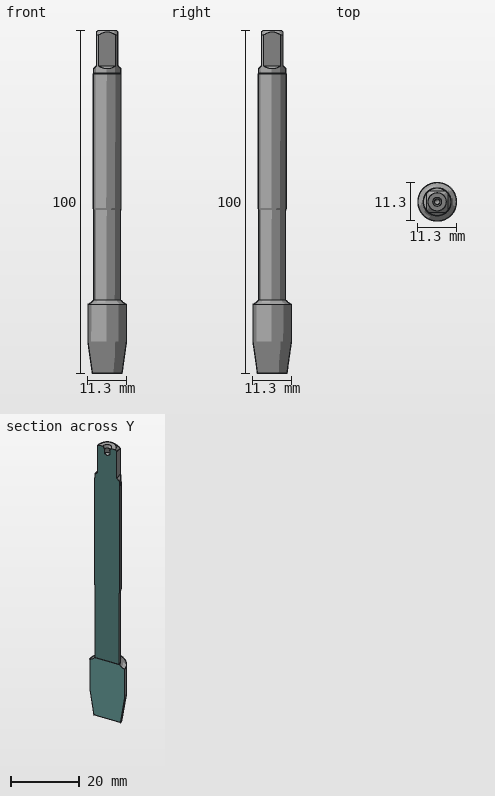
import cadquery as cq
import math

HEAD_DIAMETER = 11.3
TIP_DIAMETER = 8.7
CONE_DIAMETER = 9.5
NECK_DIAMETER = 7.9
SHANK_DIAMETER = 8.2
DRIVE_DIAMETER = 8.0

TOTAL_LENGTH = 100.0
LEAD_LENGTH = 9.2
HEAD_TOP = 20.1
CONE_BASE = 20.6
NECK_START = CONE_BASE + (CONE_DIAMETER - NECK_DIAMETER) / 2
NECK_END = 47.5
SHANK_START = 48.1
SHANK_END = 87.3
DRIVE_START = 87.6
FLAT_RUNOUT = 88.8
SQUARE_BASE = 89.6

SQUARE_WIDTH = 6.3
END_DIAMETER = 5.3
END_CHAMFER = (DRIVE_DIAMETER - END_DIAMETER) / 2

CENTRE_DIAMETER = 1.6
COUNTERSINK_DIAMETER = 2.6
COUNTERSINK_DEPTH = 0.9
CENTRE_DEPTH = 2.5
DRILL_TIP_ANGLE = 120.0


def revolve_about_axis(profile):
    """Close a half profile and turn it around the tool axis."""
    return profile.close().revolve(360, (0, 0, 0), (0, 1, 0))


def make_head():
    """Tapered cutting head with a chamfered top edge and a conical rise to the neck."""
    neck_radius = NECK_DIAMETER / 2
    profile = (
        cq.Workplane("XZ")
        .lineTo(TIP_DIAMETER / 2, 0)
        .lineTo(HEAD_DIAMETER / 2, LEAD_LENGTH)
        .lineTo(HEAD_DIAMETER / 2, HEAD_TOP)
        .lineTo(CONE_DIAMETER / 2, CONE_BASE)
        .lineTo(neck_radius, NECK_START)
        .lineTo(0, NECK_START)
    )
    return revolve_about_axis(profile)


def make_shank_blank():
    """Neck, shank and driving end as one turned blank."""
    neck_radius = NECK_DIAMETER / 2
    shank_radius = SHANK_DIAMETER / 2
    drive_radius = DRIVE_DIAMETER / 2
    profile = (
        cq.Workplane("XZ")
        .moveTo(0, NECK_START)
        .lineTo(neck_radius, NECK_START)
        .lineTo(neck_radius, NECK_END)
        .lineTo(shank_radius, SHANK_START)
        .lineTo(shank_radius, SHANK_END)
        .lineTo(drive_radius, DRIVE_START)
        .lineTo(drive_radius, TOTAL_LENGTH - END_CHAMFER)
        .lineTo(END_DIAMETER / 2, TOTAL_LENGTH)
        .lineTo(0, TOTAL_LENGTH)
    )
    return revolve_about_axis(profile)


def cut_driving_square(blank):
    """Four flats that run out to the drive end's round surface on sloping faces."""
    half_width = SQUARE_WIDTH / 2
    flat_cutter = (
        cq.Workplane("XZ")
        .moveTo(half_width, TOTAL_LENGTH)
        .lineTo(half_width, SQUARE_BASE)
        .lineTo(DRIVE_DIAMETER / 2, FLAT_RUNOUT)
        .lineTo(SHANK_DIAMETER, FLAT_RUNOUT)
        .lineTo(SHANK_DIAMETER, TOTAL_LENGTH)
        .close()
        .extrude(SHANK_DIAMETER / 2, both=True)
    )
    for side in range(4):
        blank = blank.cut(flat_cutter.rotate((0, 0, 0), (0, 0, 1), 90 * side))
    return blank


def make_centre_hole():
    """Countersunk blind hole with a pointed drill bottom in the driving end."""
    tip_height = CENTRE_DIAMETER / 2 / math.tan(math.radians(DRILL_TIP_ANGLE / 2))
    profile = (
        cq.Workplane("XZ")
        .moveTo(0, TOTAL_LENGTH)
        .lineTo(COUNTERSINK_DIAMETER / 2, TOTAL_LENGTH)
        .lineTo(CENTRE_DIAMETER / 2, TOTAL_LENGTH - COUNTERSINK_DEPTH)
        .lineTo(CENTRE_DIAMETER / 2, TOTAL_LENGTH - CENTRE_DEPTH)
        .lineTo(0, TOTAL_LENGTH - CENTRE_DEPTH - tip_height)
    )
    return revolve_about_axis(profile)


head = make_head()
shank = cut_driving_square(make_shank_blank()).cut(make_centre_hole())

result = cq.Compound.makeCompound([head.val(), shank.val()])